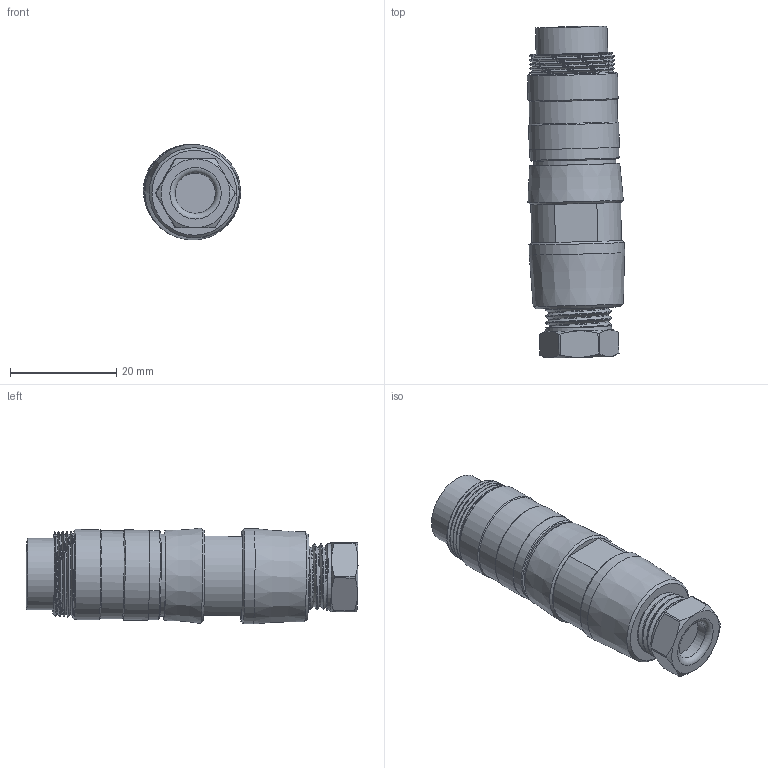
import cadquery as cq
import math


SIDE_TILT = 1.45
DOWN_TILT = 0.58

SLEEVE_D = 13.5
FINE_CORE_D = 15.1
FINE_CREST_D = 16.1
FINE_PITCH = 0.79
FINE_LEAD_IN = 1.0
FINE_START = 5.0
RING_START = 8.8
RING_D = 17.0
MIDDLE_START = 13.9
MIDDLE_D = 16.6
REAR_RING_START = 18.1
REAR_RING_STEP = 22.9
REAR_RING_END = 25.1
STEP_D = 16.8
RING_CHAMFER = 0.2

NECK_D = 15.5
COLLAR_START = 25.95
COLLAR_END = 33.3
GRIP_START = 40.5
GRIP_TAPER_START = 42.8
GRIP_END = 53.0
FLARE_D = 18.0
BODY_D = 17.0
EDGE_CHAMFER = 0.4
GRIP_END_CHAMFER = 0.5
FLAT_WIDTH = 15.0

COARSE_CORE_D = 11.2
COARSE_CREST_D = 12.45
COARSE_PITCH = 1.25
COARSE_LEAD_IN = 1.55
SHOULDER_D = 12.5
SHOULDER_START = 56.65
HEAD_START = 57.3
TOTAL_LENGTH = 62.3
HEAD_ACROSS_FLATS = 13.0
HEAD_BEVEL_ANGLE = 30
HEAD_EDGE_RADIUS = 0.3
ENTRY_D = 9.7
BORE_D = 7.6
BORE_DEPTH = 3.0

THREAD_OVERLAP = 0.1
RIDGE_ROOT_SHARE = 0.92
RIDGE_CREST_SHARE = 0.12


def cylinder(diameter, start, end):
    """Cylinder on the axis between two depths."""
    return (
        cq.Workplane("XZ", origin=(0, -start, 0))
        .circle(diameter / 2)
        .extrude(end - start)
    )


def revolved_body():
    """Turned outline of everything except the threads and the screw head."""
    ring_r = RING_D / 2
    middle_r = MIDDLE_D / 2
    step_r = STEP_D / 2
    neck_r = NECK_D / 2
    flare_r = FLARE_D / 2
    body_r = BODY_D / 2
    outline = [
        (0, 0),
        (SLEEVE_D / 2, 0),
        (SLEEVE_D / 2, FINE_START),
        (FINE_CORE_D / 2, FINE_START),
        (FINE_CORE_D / 2, RING_START),
        (ring_r - RING_CHAMFER, RING_START),
        (ring_r, RING_START + RING_CHAMFER),
        (ring_r, MIDDLE_START - RING_CHAMFER),
        (middle_r, MIDDLE_START),
        (middle_r, REAR_RING_START),
        (ring_r, REAR_RING_START + RING_CHAMFER),
        (ring_r, REAR_RING_STEP),
        (step_r, REAR_RING_STEP),
        (step_r, REAR_RING_END - RING_CHAMFER),
        (step_r - RING_CHAMFER, REAR_RING_END),
        (neck_r, REAR_RING_END),
        (neck_r, COLLAR_START),
        (body_r, COLLAR_START),
        (flare_r, COLLAR_END - EDGE_CHAMFER),
        (flare_r - EDGE_CHAMFER, COLLAR_END),
        (body_r, COLLAR_END),
        (body_r, GRIP_START),
        (flare_r - EDGE_CHAMFER, GRIP_START),
        (flare_r, GRIP_START + EDGE_CHAMFER),
        (flare_r, GRIP_TAPER_START),
        (body_r, GRIP_END - GRIP_END_CHAMFER),
        (body_r - GRIP_END_CHAMFER, GRIP_END),
        (COARSE_CORE_D / 2, GRIP_END),
        (COARSE_CORE_D / 2, SHOULDER_START),
        (SHOULDER_D / 2, SHOULDER_START),
        (SHOULDER_D / 2, HEAD_START),
        (0, HEAD_START),
    ]
    points = [(radius, -depth) for radius, depth in outline]
    return cq.Workplane("XY").polyline(points).close().revolve(360, (0, 0, 0), (0, 1, 0))


def thread_ridge(core_d, crest_d, pitch, lead_in, start, end):
    """Helical V ridge begun a lead-in before its start and trimmed square at both depths."""
    root_r = core_d / 2 - THREAD_OVERLAP
    height = crest_d / 2 - root_r
    root_half = RIDGE_ROOT_SHARE * pitch / 2
    crest_half = RIDGE_CREST_SHARE * pitch / 2
    helix = cq.Wire.makeHelix(pitch, end - start + 2 * pitch, root_r)
    ridge = (
        cq.Workplane("XZ", origin=(root_r, 0, 0))
        .polyline([(0, -root_half), (height, -crest_half), (height, crest_half), (0, root_half)])
        .close()
        .sweep(cq.Workplane(obj=helix), isFrenet=True)
        .rotate((0, 0, 0), (1, 0, 0), 90)
        .translate((0, lead_in - start, 0))
    )
    return ridge.intersect(cylinder(2 * crest_d, start, end))


def wrench_flats():
    """Stock removed above and below the wrench section."""
    length = GRIP_START - COLLAR_END
    slab = cq.Workplane("XY").box(FLARE_D, length, FLARE_D)
    core = cq.Workplane("XY").box(FLARE_D, length, FLAT_WIDTH)
    return slab.cut(core).translate((0, -(COLLAR_END + GRIP_START) / 2, 0))


def screw_head():
    """Hexagon head with bevelled corners at both ends."""
    across_corners = HEAD_ACROSS_FLATS / math.cos(math.pi / 6)
    flat_r = HEAD_ACROSS_FLATS / 2
    corner_r = across_corners / 2
    bevel = (corner_r - flat_r) * math.tan(math.radians(HEAD_BEVEL_ANGLE))
    hexagon = (
        cq.Workplane("XZ", origin=(0, -HEAD_START, 0))
        .polygon(6, across_corners)
        .extrude(TOTAL_LENGTH - HEAD_START)
        .edges("|Y")
        .fillet(HEAD_EDGE_RADIUS)
    )
    envelope = (
        cylinder(across_corners, HEAD_START, TOTAL_LENGTH)
        .faces("<Y or >Y")
        .chamfer(bevel, corner_r - flat_r)
    )
    return hexagon.intersect(envelope)


def cable_entry():
    """Blind bore with a rounded mouth."""
    mouth_r = (ENTRY_D - BORE_D) / 2
    mouth_start = TOTAL_LENGTH - mouth_r
    return (
        cq.Workplane("XY")
        .moveTo(0, -TOTAL_LENGTH)
        .lineTo(ENTRY_D / 2, -TOTAL_LENGTH)
        .radiusArc((BORE_D / 2, -mouth_start), mouth_r)
        .lineTo(BORE_D / 2, -(TOTAL_LENGTH - BORE_DEPTH))
        .lineTo(0, -(TOTAL_LENGTH - BORE_DEPTH))
        .close()
        .revolve(360, (0, 0, 0), (0, 1, 0))
    )


connector = revolved_body().cut(wrench_flats())
connector = connector.union(screw_head()).cut(cable_entry())
fine_thread = thread_ridge(
    FINE_CORE_D,
    FINE_CREST_D,
    FINE_PITCH,
    FINE_LEAD_IN,
    FINE_START + THREAD_OVERLAP,
    RING_START + THREAD_OVERLAP,
)
coarse_thread = thread_ridge(
    COARSE_CORE_D,
    COARSE_CREST_D,
    COARSE_PITCH,
    COARSE_LEAD_IN,
    GRIP_END - THREAD_OVERLAP,
    SHOULDER_START + THREAD_OVERLAP,
)
connector = connector.union(fine_thread).union(coarse_thread)

result = connector.rotate((0, 0, 0), (0, 0, 1), SIDE_TILT).rotate((0, 0, 0), (1, 0, 0), DOWN_TILT)